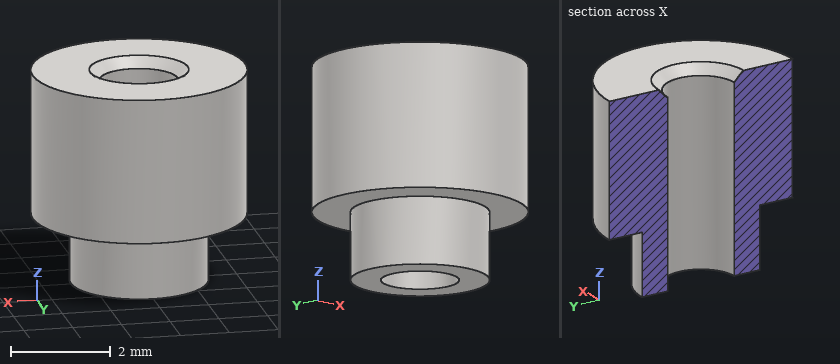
import cadquery as cq

total_height = 4.4
body_diameter = 4.35
body_height = 3.0
neck_diameter = 2.8
bore_diameter = 1.57
countersink_diameter = 2.0

neck_height = total_height - body_height

countersink_depth = (countersink_diameter - bore_diameter) / 2

neck = cq.Workplane("XY").circle(neck_diameter / 2).extrude(neck_height)
body = (
    cq.Workplane("XY")
    .workplane(offset=neck_height)
    .circle(body_diameter / 2)
    .extrude(body_height)
)
spacer = neck.union(body)

bored_spacer = spacer.faces(">Z").workplane().hole(bore_diameter)
result = bored_spacer.faces(">Z").edges("%CIRCLE").edges(
    cq.selectors.RadiusNthSelector(0)
).chamfer(countersink_depth)